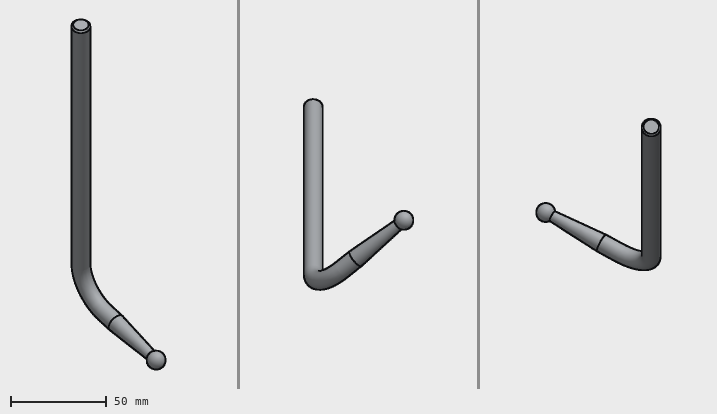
import cadquery as cq
import math

total_height = 205.0
rod_diameter = 10.0
bend_radius = 20.0
foot_length = 10.0
top_chamfer = 1.0
neck_length = 30.0
neck_end_diameter = 6.0
ball_diameter = rod_diameter

rod_radius = rod_diameter / 2
neck_end_radius = neck_end_diameter / 2
ball_radius = ball_diameter / 2
foot_axis_z = rod_radius
bend_top_z = foot_axis_z + bend_radius
neck_start_x = bend_radius + foot_length
neck_end_x = neck_start_x + neck_length
ball_flat_offset = math.sqrt(ball_radius**2 - neck_end_radius**2)
ball_center_x = neck_end_x + ball_flat_offset


def make_rod():
    """Bent round rod: chamfered upright, quarter bend and short straight foot."""
    bend_offset = bend_radius * math.sqrt(0.5)
    bend_middle = (bend_radius - bend_offset, bend_top_z - bend_offset)
    path = (
        cq.Workplane("XZ")
        .moveTo(0, total_height)
        .lineTo(0, bend_top_z)
        .threePointArc(bend_middle, (bend_radius, foot_axis_z))
        .lineTo(neck_start_x, foot_axis_z)
    )
    rod = cq.Workplane("XY").workplane(offset=total_height).circle(rod_radius).sweep(path)
    return rod.faces(">Z").edges().chamfer(top_chamfer)


def revolve_about_foot_axis(profile):
    """Turn a closed profile, drawn in XZ, about the axis of the foot."""
    return profile.revolve(360, (0, foot_axis_z, 0), (1, foot_axis_z, 0))


def make_neck():
    """Cone tapering from the rod diameter down to the ball."""
    profile = (
        cq.Workplane("XZ")
        .moveTo(neck_start_x, foot_axis_z)
        .lineTo(neck_start_x, foot_axis_z + rod_radius)
        .lineTo(neck_end_x, foot_axis_z + neck_end_radius)
        .lineTo(neck_end_x, foot_axis_z)
        .close()
    )
    return revolve_about_foot_axis(profile)


def make_ball():
    """Ball with a flat where it meets the end of the neck."""
    profile = (
        cq.Workplane("XZ")
        .moveTo(neck_end_x, foot_axis_z)
        .lineTo(neck_end_x, foot_axis_z + neck_end_radius)
        .threePointArc(
            (ball_center_x, foot_axis_z + ball_radius),
            (ball_center_x + ball_radius, foot_axis_z),
        )
        .close()
    )
    return revolve_about_foot_axis(profile)


rod = make_rod()
neck = make_neck()
ball = make_ball()

result = cq.Compound.makeCompound([rod.val(), neck.val(), ball.val()])